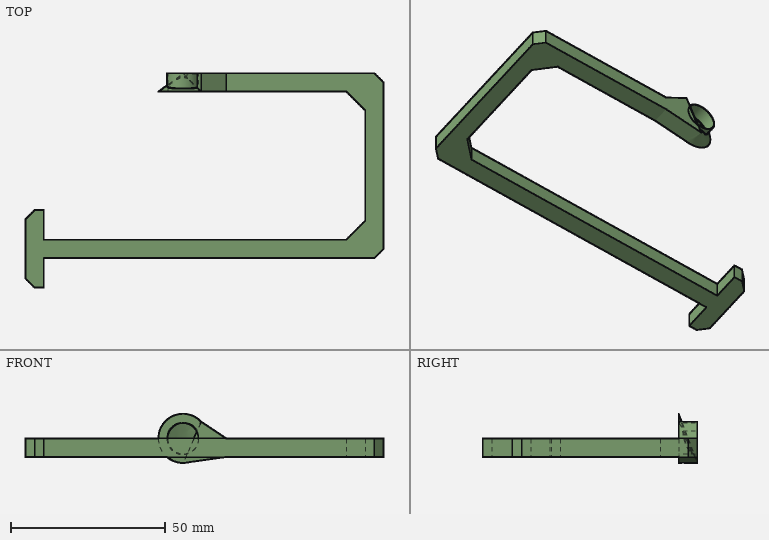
import cadquery as cq
import math

length = 116.0
width = 69.5
bar = 6.0
foot_width = 25.2
outer_chamfer = bar / 2
inner_chamfer = bar

eye_x = 51.0
eye_z = bar
eye_radius = 8.0
bore_radius = 5.0
skin = 0.2
arm_end_x = 65.1
web_angle = math.radians(43)

beam_y = (foot_width - bar) / 2
inner_y = width - bar


def make_frame():
    """Foot, lower beam, upright and upper arm as one flat profile."""
    right_inside = length - bar
    outline = [
        (0, outer_chamfer),
        (outer_chamfer, 0),
        (bar, 0),
        (bar, beam_y),
        (length - outer_chamfer, beam_y),
        (length, beam_y + outer_chamfer),
        (length, width - outer_chamfer),
        (length - outer_chamfer, width),
        (arm_end_x, width),
        (arm_end_x, inner_y),
        (right_inside - inner_chamfer, inner_y),
        (right_inside, inner_y - inner_chamfer),
        (right_inside, beam_y + bar + inner_chamfer),
        (right_inside - inner_chamfer, beam_y + bar),
        (bar, beam_y + bar),
        (bar, foot_width),
        (outer_chamfer, foot_width),
        (0, foot_width - outer_chamfer),
    ]
    return cq.Workplane("XY").polyline(outline).close().extrude(bar)


def eye_plane():
    """Sketch plane on the inner face of the arm; extrusions run toward -Y."""
    return cq.Workplane("XZ", origin=(0, inner_y, 0))


def make_web():
    """Flat-sided prism joining the eye's chord to the end of the arm."""
    top_corner = (
        eye_x + eye_radius * math.cos(web_angle),
        eye_z + eye_radius * math.sin(web_angle),
    )
    outline = [
        (eye_x, eye_z - eye_radius),
        (arm_end_x, 0),
        (arm_end_x, bar),
        top_corner,
    ]
    return eye_plane().polyline(outline).close().extrude(-bar)


def make_oblique_cone():
    """Cone from the eye's round face to a point at its lowest edge on the outer face.

    Every section is a circle tangent to the same bottom line, so the cone is
    lofted between the full circle and a minute one at the apex.
    """
    apex_radius = 0.01
    apex_rise = eye_radius - apex_radius
    return (
        eye_plane()
        .center(eye_x, eye_z)
        .circle(eye_radius)
        .workplane(offset=-bar)
        .center(0, -apex_rise)
        .circle(apex_radius)
        .loft(ruled=True)
    )


def make_cylinder(radius):
    """Cylinder on the eye axis, as deep as the arm."""
    return eye_plane().center(eye_x, eye_z).circle(radius).extrude(-bar)


def make_eye():
    """Cone and web, hollowed by the bore down to a thin skin, with a thin sleeve."""
    body = make_web().union(make_oblique_cone())
    bore = make_cylinder(bore_radius)
    pocket = bore.intersect(body.translate((0, -skin, 0)))
    sleeve = make_cylinder(bore_radius + skin).cut(bore)
    return body.cut(pocket).union(sleeve)


result = make_frame().union(make_eye())